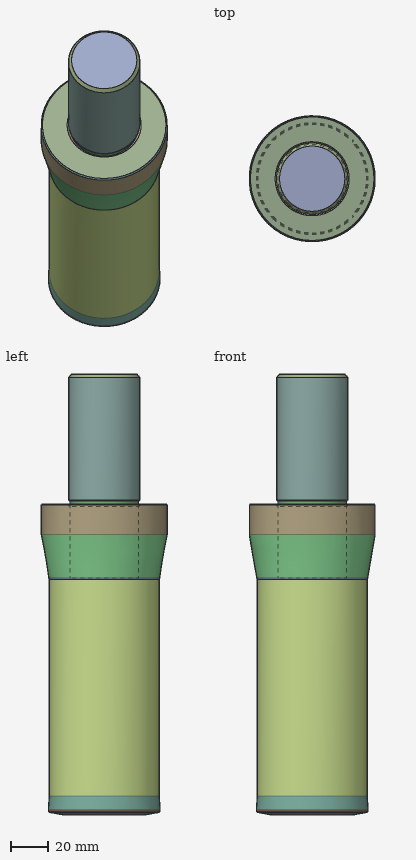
import cadquery as cq

total_height = 237.5

head_radius = 34.0
head_top = 167.7
head_taper_top = 151.0
head_taper_bottom = 127.8
head_edge_chamfer = 0.7
tube_radius = 29.7
step_height = 0.7
step_width = 0.2
foot_top = 10.2
foot_radius = 30.2
foot_lip_top = 3.0
foot_lip_bottom = 2.1
base_edge_radius = 29.2
base_edge_height = 1.5
base_flat_radius = 21.4

rod_radius = 19.2
rod_shoulder = 169.8
rod_top_chamfer = 1.7
shoulder_chamfer = 0.7
neck_radius = rod_radius - shoulder_chamfer
bore_mouth_chamfer = 1.5
bore_bottom = head_taper_bottom


def revolve_profile(points):
    """Turn a closed (radius, height) outline about the Z axis."""
    return cq.Workplane("XZ").polyline(points).close().revolve(360, (0, 0), (0, 1))


def make_housing():
    mouth_radius = neck_radius + bore_mouth_chamfer
    return revolve_profile([
        (0, 0),
        (base_flat_radius, 0),
        (base_edge_radius, base_edge_height),
        (foot_radius, foot_lip_bottom),
        (foot_radius, foot_lip_top),
        (tube_radius, foot_top),
        (tube_radius, head_taper_bottom - step_height),
        (tube_radius + step_width, head_taper_bottom),
        (head_radius, head_taper_top),
        (head_radius, head_top - head_edge_chamfer),
        (head_radius - head_edge_chamfer, head_top),
        (mouth_radius, head_top),
        (neck_radius, head_top - bore_mouth_chamfer),
        (neck_radius, bore_bottom),
        (0, bore_bottom),
    ])


def make_rod():
    return revolve_profile([
        (0, bore_bottom),
        (neck_radius, bore_bottom),
        (neck_radius, rod_shoulder - shoulder_chamfer),
        (rod_radius, rod_shoulder),
        (rod_radius, total_height - rod_top_chamfer),
        (rod_radius - rod_top_chamfer, total_height),
        (0, total_height),
    ])


housing = make_housing()
rod = make_rod()

result = cq.Compound.makeCompound([housing.val(), rod.val()])